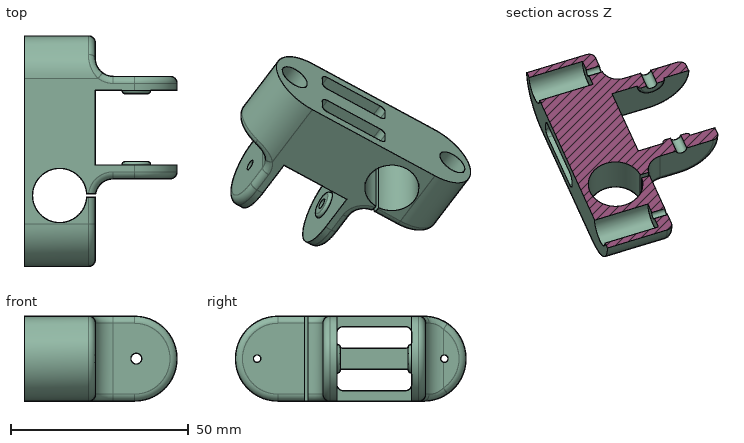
import cadquery as cq

length = 65.0
height = 24.0
body_depth = 20.0

reach = 43.0
arm_thickness = 3.95
fork_gap = 21.0
fork_center_y = 6.6
upper_inner_y = fork_center_y + fork_gap / 2
lower_inner_y = fork_center_y - fork_gap / 2
upper_outer_y = upper_inner_y + arm_thickness
lower_outer_y = lower_inner_y - arm_thickness
arm_round_x = reach - height / 2
root_radius = 5.0
edge_radius = 2.0

pivot_x = 31.5
pivot_diameter = 3.0
pad_diameter = 8.1
pad_height = 1.0
pad_edge_radius = 0.9

clamp_diameter = 15.2
clamp_x = 9.95
clamp_y = -12.5
slit_width = 1.0

mount_spacing = 52.7
mount_diameter = 2.0
counterbore_diameter = 8.3
counterbore_floor = 4.0

slot_height = 6.0
slot_spacing = 11.95
slot_corner_radius = 1.7


def make_blank():
    """Fork outline along Z, trimmed to the rounded ends of the body and arms."""
    outline = (
        cq.Workplane("XY")
        .moveTo(0, -length / 2)
        .lineTo(body_depth, -length / 2)
        .lineTo(body_depth, lower_outer_y - root_radius)
        .radiusArc((body_depth + root_radius, lower_outer_y), root_radius)
        .lineTo(reach, lower_outer_y)
        .lineTo(reach, lower_inner_y)
        .lineTo(body_depth, lower_inner_y)
        .lineTo(body_depth, upper_inner_y)
        .lineTo(reach, upper_inner_y)
        .lineTo(reach, upper_outer_y)
        .lineTo(body_depth + root_radius, upper_outer_y)
        .radiusArc((body_depth, upper_outer_y + root_radius), root_radius)
        .lineTo(body_depth, length / 2)
        .lineTo(0, length / 2)
        .close()
        .extrude(height / 2, both=True)
    )
    body_envelope = cq.Workplane("YZ").slot2D(length, height).extrude(reach)
    arm_envelope = (
        cq.Workplane("XZ")
        .rect(2 * arm_round_x, height)
        .extrude(length / 2, both=True)
        .union(
            cq.Workplane("XZ")
            .center(arm_round_x, 0)
            .circle(height / 2)
            .extrude(length / 2, both=True)
        )
    )
    return outline.intersect(body_envelope).intersect(arm_envelope)


def round_outer_edges(blank):
    """Round the front rim of the body, running on around the outside of each arm."""
    margin = 0.005
    upper_edges = cq.selectors.BoxSelector(
        (body_depth - margin, upper_outer_y - margin, -height),
        (reach + margin, length, height),
    )
    lower_edges = cq.selectors.BoxSelector(
        (body_depth - margin, -length, -height),
        (reach + margin, lower_outer_y + margin, height),
    )
    vertical_seams = cq.selectors.ParallelDirSelector(cq.Vector(0, 0, 1))
    return blank.edges(upper_edges + lower_edges - vertical_seams).fillet(edge_radius)


def make_pad(inner_y, direction):
    """Round pad with a softened rim on the inner face of one arm."""
    return (
        cq.Workplane(cq.Plane((pivot_x, inner_y, 0), (1, 0, 0), (0, direction, 0)))
        .circle(pad_diameter / 2)
        .extrude(pad_height)
        .faces(cq.selectors.DirectionMinMaxSelector(cq.Vector(0, direction, 0)))
        .edges()
        .fillet(pad_edge_radius)
    )


def make_pivot_hole():
    return (
        cq.Workplane("XZ")
        .center(pivot_x, 0)
        .circle(pivot_diameter / 2)
        .extrude(length / 2, both=True)
    )


def make_clamp_cut():
    bore = (
        cq.Workplane("XY")
        .center(clamp_x, clamp_y)
        .circle(clamp_diameter / 2)
        .extrude(height, both=True)
    )
    slit = (
        cq.Workplane("XY")
        .center((clamp_x + reach) / 2, clamp_y)
        .rect(reach - clamp_x, slit_width)
        .extrude(height, both=True)
    )
    return bore.union(slit)


def make_mount_holes():
    centers = [(-mount_spacing / 2, 0), (mount_spacing / 2, 0)]
    through = cq.Workplane("YZ").pushPoints(centers).circle(mount_diameter / 2).extrude(reach)
    counterbore = (
        cq.Workplane("YZ")
        .pushPoints(centers)
        .circle(counterbore_diameter / 2)
        .extrude(body_depth - counterbore_floor)
    )
    return through.union(counterbore)


def make_strap_slots():
    """Two slots through the body, as wide as the gap between the arms."""
    return (
        cq.Workplane("YZ")
        .pushPoints([(fork_center_y, -slot_spacing / 2), (fork_center_y, slot_spacing / 2)])
        .rect(fork_gap, slot_height)
        .extrude(body_depth)
        .edges("|X")
        .fillet(slot_corner_radius)
    )


result = (
    round_outer_edges(make_blank())
    .union(make_pad(upper_inner_y, -1))
    .union(make_pad(lower_inner_y, 1))
    .cut(make_pivot_hole())
    .cut(make_clamp_cut())
    .cut(make_mount_holes())
    .cut(make_strap_slots())
)